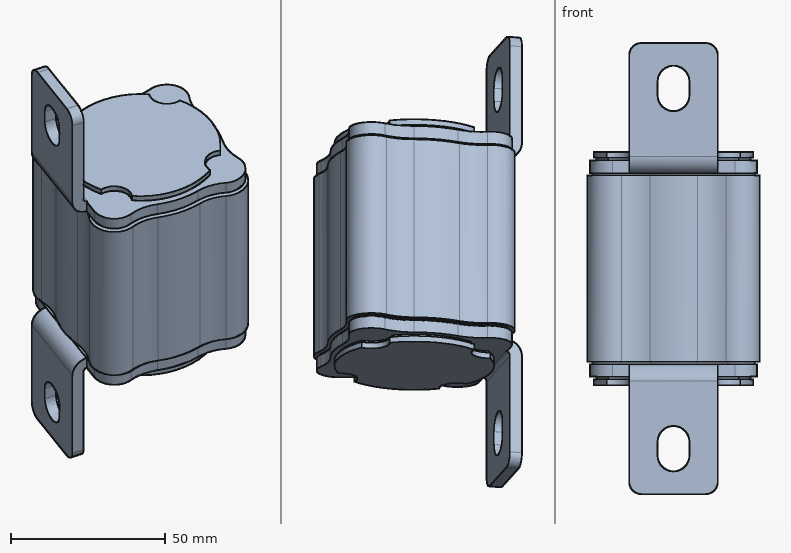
import cadquery as cq
import math

OVERALL_HEIGHT = 146.4
OVERALL_DEPTH = 60.3

BODY_WIDTH = 56.0
BODY_HEIGHT = 60.5
BODY_HALF_WIDTH = BODY_WIDTH / 2
CORNER_RADIUS = 8.2
CORNER_CENTER = BODY_HALF_WIDTH - CORNER_RADIUS
BULGE_RADIUS = 29.7
VALLEY_RADIUS = 15.2

GASKET_THICKNESS = 0.7
TERMINAL_THICKNESS = 4.1
NECK_THICKNESS = 0.9
DISC_THICKNESS = 1.9

BODY_TOP = BODY_HEIGHT / 2
GASKET_TOP = BODY_TOP + GASKET_THICKNESS
PLATE_TOP = GASKET_TOP + TERMINAL_THICKNESS
NECK_TOP = PLATE_TOP + NECK_THICKNESS
DISC_TOP = NECK_TOP + DISC_THICKNESS

GASKET_INSET = 1.6
PLATE_INSET = 0.9

DISC_RADIUS = 25.9
NOTCH_RADIUS = 5.9
NECK_INSET = 0.9

TAB_WIDTH = 28.8
TAB_END = OVERALL_HEIGHT / 2
TAB_FRONT = OVERALL_DEPTH - BODY_HALF_WIDTH
TAB_CORNER_RADIUS = 4.1
BEND_INNER_RADIUS = 1.3
BEND_OUTER_RADIUS = BEND_INNER_RADIUS + TERMINAL_THICKNESS
SLOT_WIDTH = 10.2
SLOT_LENGTH = 14.6
SLOT_HEIGHT = 58.4

CORNERS = [(sx * CORNER_CENTER, sy * CORNER_CENTER) for sx in (-1, 1) for sy in (-1, 1)]


def turned(point, quarter_turns):
    """Rotate a point about the origin by quarter turns counterclockwise."""
    x, y = point
    for _ in range(quarter_turns):
        x, y = -y, x
    return x, y


def toward(start, end, distance):
    """Point at a distance from start on the line to end."""
    share = distance / math.dist(start, end)
    return tuple(s + share * (e - s) for s, e in zip(start, end))


def valley_center(bulge_center):
    """Center of the valley circle touching the bulge circle and the corner circle."""
    corner = (CORNER_CENTER, CORNER_CENTER)
    to_bulge = BULGE_RADIUS + VALLEY_RADIUS
    to_corner = CORNER_RADIUS + VALLEY_RADIUS
    gap = math.dist(bulge_center, corner)
    angle_at_bulge = math.acos((to_bulge**2 + gap**2 - to_corner**2) / (2 * to_bulge * gap))
    corner_angle = math.atan2(corner[1] - bulge_center[1], corner[0] - bulge_center[0])
    angle = corner_angle + angle_at_bulge
    return (to_bulge * math.cos(angle), bulge_center[1] + to_bulge * math.sin(angle))


def lobed_layer(inset, bottom, top):
    """Prism with the lobed outline, moved inward by the inset."""
    bulge = (0, BODY_HALF_WIDTH - BULGE_RADIUS)
    corner = (CORNER_CENTER, CORNER_CENTER)
    valley = valley_center(bulge)
    corner_radius = CORNER_RADIUS - inset
    bulge_top = (0, BODY_HALF_WIDTH - inset)
    bulge_end = toward(bulge, valley, BULGE_RADIUS - inset)
    valley_low = (valley[0], valley[1] - VALLEY_RADIUS - inset)
    corner_start = toward(corner, valley, corner_radius)
    corner_tip = toward(corner, (BODY_HALF_WIDTH, BODY_HALF_WIDTH), corner_radius)

    def mirrored(point):
        return -point[0], point[1]

    outline = cq.Workplane("XY").workplane(offset=bottom).moveTo(*bulge_end)
    for turn in range(4):
        side = [
            (bulge_top, mirrored(bulge_end)),
            (mirrored(valley_low), mirrored(corner_start)),
            (mirrored(corner_tip), turned(corner_start, 1)),
            (turned(valley_low, 1), turned(bulge_end, 1)),
        ]
        for middle, end in side:
            outline = outline.threePointArc(turned(middle, turn), turned(end, turn))
    return outline.close().extrude(top - bottom)


def end_plate():
    """Lobed plate whose front edge runs straight between the corner lobes."""
    half_width = BODY_HALF_WIDTH - PLATE_INSET
    lobed = lobed_layer(PLATE_INSET, GASKET_TOP, PLATE_TOP)
    front_fill = (
        cq.Workplane("XY")
        .workplane(offset=GASKET_TOP)
        .center(0, -(half_width + CORNER_CENTER) / 2)
        .rect(2 * CORNER_CENTER, half_width - CORNER_CENTER)
        .extrude(TERMINAL_THICKNESS)
    )
    return lobed.union(front_fill)


def notched_disc(inset, bottom, top):
    """Round disc cut back around each corner lobe."""
    height = top - bottom
    base = cq.Workplane("XY").workplane(offset=bottom)
    disc = base.circle(DISC_RADIUS - inset).extrude(height)
    notches = base.pushPoints(CORNERS).circle(NOTCH_RADIUS + inset).extrude(height)
    return disc.cut(notches)


def terminal():
    """Strip leaving the end plate and bent upward, with a slotted, rounded end."""
    back = -CORNER_CENTER
    bend_start = BEND_OUTER_RADIUS - TAB_FRONT
    bend_end = GASKET_TOP + BEND_OUTER_RADIUS
    inner_face = TERMINAL_THICKNESS - TAB_FRONT
    strip = (
        cq.Workplane("YZ")
        .moveTo(back, GASKET_TOP)
        .lineTo(bend_start, GASKET_TOP)
        .radiusArc((-TAB_FRONT, bend_end), BEND_OUTER_RADIUS)
        .lineTo(-TAB_FRONT, TAB_END)
        .lineTo(inner_face, TAB_END)
        .lineTo(inner_face, bend_end)
        .radiusArc((bend_start, PLATE_TOP), -BEND_INNER_RADIUS)
        .lineTo(back, PLATE_TOP)
        .close()
        .extrude(TAB_WIDTH / 2, both=True)
        .faces(">Z")
        .edges("|Y")
        .fillet(TAB_CORNER_RADIUS)
    )
    slot = (
        cq.Workplane("XZ", origin=(0, 0, SLOT_HEIGHT))
        .slot2D(SLOT_LENGTH, SLOT_WIDTH, 90)
        .extrude(TAB_FRONT)
    )
    return strip.cut(slot)


def upper_end():
    """Everything stacked above the body."""
    return (
        lobed_layer(GASKET_INSET, BODY_TOP, GASKET_TOP)
        .union(end_plate())
        .union(notched_disc(NECK_INSET, PLATE_TOP, NECK_TOP))
        .union(notched_disc(0, NECK_TOP, DISC_TOP))
        .union(terminal())
    )


top_end = upper_end()
bottom_end = top_end.mirror("XY")
body = lobed_layer(0, -BODY_TOP, BODY_TOP)
result = body.union(top_end).union(bottom_end)